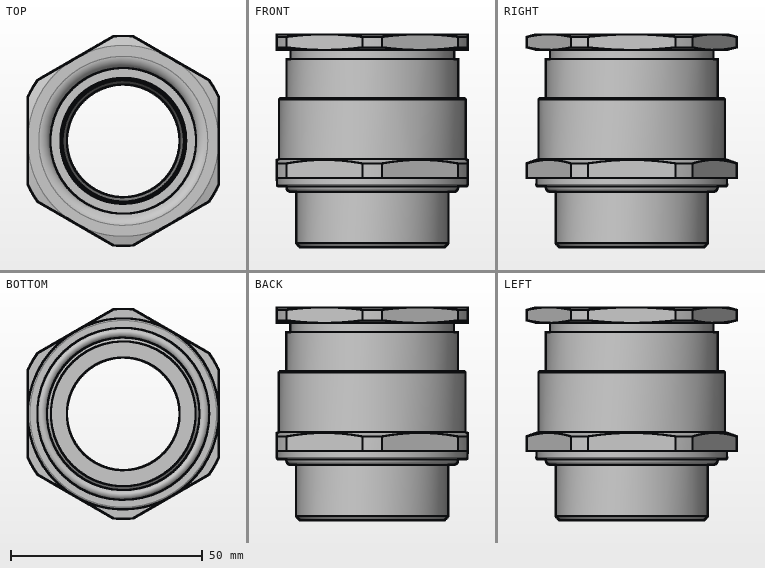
import cadquery as cq
import math

across_flats = 50.0
flat_radius = across_flats / 2
across_corners = 55.0
corner_radius = across_corners / 2

bottom_chamfer_top = 1.1
collar_bottom = 15.95
body_hex_bottom = 18.1
body_hex_top = 23.1
cone_top = 34.85
cap_seat = 36.95
cap_floor = 38.15
body_top = 39.0
undercut_bottom = 49.3
cap_hex_bottom = 51.7
total_height = 55.75

thread_radius = 19.95
thread_chamfer = 1.0
collar_fillet = 0.55
barrel_radius = 24.5
barrel_chamfer = 0.4
body_hex_slope = 20
outlet_radius = 14.7
throat_radius = 15.9

cap_thread_radius = 22.5
undercut_radius = 21.45
cap_hex_slope = 15
cap_bore_radius = 19.05
mouth_fillet = 3.05
cap_hole_radius = 16.1
cap_hole_chamfer_width = 0.4
cap_hole_chamfer_depth = 0.55

ring_section_radius = 1.3
ring_radius = thread_radius + ring_section_radius
ring_bottom = 14.5
ring_height = ring_bottom + ring_section_radius
groove_outer_radius = ring_radius + ring_section_radius
groove_top = ring_height + ring_section_radius


def revolve_profile(points):
    """Turn a closed outline of (radius, height) points around the Z axis."""
    return cq.Workplane("XZ").polyline(points).close().revolve(360, (0, 0, 0), (0, 1, 0))


def hexagon_prism(bottom, top):
    """Hexagonal prism with two flats facing +X and -X."""
    sharp_corner_diameter = across_flats / math.cos(math.radians(30))
    return (
        cq.Workplane("XY", origin=(0, 0, bottom))
        .transformed(rotate=(0, 0, 30))
        .polygon(6, sharp_corner_diameter)
        .extrude(top - bottom)
    )


def make_body():
    hex_drop = (corner_radius - barrel_radius) * math.tan(math.radians(body_hex_slope))
    flange = revolve_profile([
        (0, body_hex_bottom),
        (corner_radius, body_hex_bottom),
        (corner_radius, body_hex_top - hex_drop),
        (barrel_radius, body_hex_top),
        (0, body_hex_top),
    ]).intersect(hexagon_prism(body_hex_bottom, body_hex_top))

    below_flange = revolve_profile([
        (0, 0),
        (thread_radius - thread_chamfer, 0),
        (thread_radius, bottom_chamfer_top),
        (thread_radius, groove_top),
        (groove_outer_radius, groove_top),
        (groove_outer_radius, collar_bottom),
        (flat_radius, collar_bottom),
        (flat_radius, body_hex_bottom),
        (0, body_hex_bottom),
    ])
    below_flange = below_flange.edges(cq.selectors.RadiusNthSelector(-1)).edges("<Z").fillet(collar_fillet)

    barrel = revolve_profile([
        (0, body_hex_top),
        (barrel_radius, body_hex_top),
        (barrel_radius, body_top - barrel_chamfer),
        (barrel_radius - barrel_chamfer, body_top),
        (0, body_top),
    ])

    bore = revolve_profile([
        (0, 0),
        (outlet_radius, 0),
        (throat_radius, cone_top),
        (throat_radius, cap_seat),
        (cap_thread_radius, cap_seat),
        (cap_thread_radius, body_top),
        (0, body_top),
    ])
    return flange.union(below_flange).union(barrel).cut(bore)


def make_cap():
    hex_drop = (corner_radius - flat_radius) * math.tan(math.radians(cap_hex_slope))
    head = revolve_profile([
        (0, cap_hex_bottom),
        (flat_radius, cap_hex_bottom),
        (corner_radius, cap_hex_bottom + hex_drop),
        (corner_radius, total_height - hex_drop),
        (flat_radius, total_height),
        (0, total_height),
    ]).intersect(hexagon_prism(cap_hex_bottom, total_height))

    sleeve = revolve_profile([
        (0, cap_seat),
        (cap_thread_radius, cap_seat),
        (cap_thread_radius, undercut_bottom),
        (undercut_radius, undercut_bottom),
        (undercut_radius, cap_hex_bottom),
        (0, cap_hex_bottom),
    ])

    fillet_start = total_height - mouth_fillet
    fillet_middle = mouth_fillet * (1 - math.sqrt(0.5))
    bore = (
        cq.Workplane("XZ")
        .moveTo(0, cap_seat)
        .lineTo(cap_hole_radius, cap_seat)
        .lineTo(cap_hole_radius, cap_floor - cap_hole_chamfer_depth)
        .lineTo(cap_hole_radius + cap_hole_chamfer_width, cap_floor)
        .lineTo(cap_bore_radius, cap_floor)
        .lineTo(cap_bore_radius, fillet_start)
        .threePointArc(
            (cap_bore_radius + fillet_middle, total_height - fillet_middle),
            (cap_bore_radius + mouth_fillet, total_height),
        )
        .lineTo(0, total_height)
        .close()
        .revolve(360, (0, 0, 0), (0, 1, 0))
    )
    return head.union(sleeve).cut(bore)


def make_o_ring():
    return (
        cq.Workplane("XZ")
        .center(ring_radius, ring_height)
        .circle(ring_section_radius)
        .revolve(360, (-ring_radius, 0, 0), (-ring_radius, 1, 0))
    )


gland_body = make_body()
cap_nut = make_cap()
o_ring = make_o_ring()

result = cq.Compound.makeCompound([
    gland_body.solids().val(),
    cap_nut.solids().val(),
    o_ring.solids().val(),
])